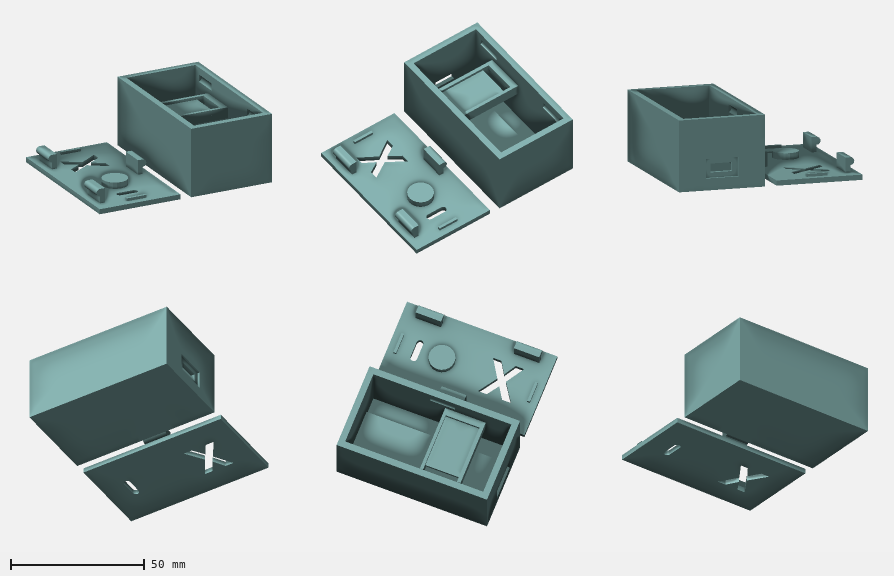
import cadquery as cq

LENGTH = 60.5
WIDTH = 34.0
BOX_HEIGHT = 27.5
PART_GAP = 4.52
BOX_Y = WIDTH + PART_GAP

WALL = 2.5
FLOOR = 2.5
CAVITY_LENGTH = LENGTH - 2 * WALL
CAVITY_WIDTH = WIDTH - 2 * WALL
BOARD_BED_WIDTH = 15.0
BOARD_BED_TOP = 5.5

PORT_Z = 8.3
PORT_WIDTH = 8.6
PORT_HEIGHT = 3.4
PORT_RECESS_WIDTH = 12.9
PORT_RECESS_HEIGHT = 7.4
PORT_RECESS_DEPTH = 1.0

HOLDER_X = -9.3
HOLDER_LENGTH = 16.3
HOLDER_TOP = 19.7
HOLDER_THICKNESS = 2.2
HOLDER_BOTTOM = HOLDER_TOP - HOLDER_THICKNESS
SCREEN_X = -9.2
SCREEN_LENGTH = 13.6
SCREEN_WIDTH = 23.6
SCREEN_POCKET_DEPTH = 1.1
CABLE_SLOT_WIDTH = 2.6
CABLE_SLOT_Y = (SCREEN_WIDTH - CABLE_SLOT_WIDTH) / 2
FRAME_THICKNESS = HOLDER_THICKNESS
FRAME_BOTTOM = HOLDER_BOTTOM - FRAME_THICKNESS
CABLE_NOTCH_DEPTH = 0.5
CABLE_NOTCH_POST = 1.1

LID_THICKNESS = 2.0
SIDE_RIB_X = 26.9
SIDE_RIB_THICKNESS = 1.1
SIDE_RIB_LENGTH = 8.3
SIDE_RIB_HEIGHT = 1.1
KNOB_X = 9.55
KNOB_DIAMETER = 10.1
KNOB_SIDES = 20
KNOB_HEIGHT = 2.5
SLOT_X = 19.65
SLOT_WIDTH = 2.6
SLOT_LENGTH = 8.8

CLIP_TAB_OUTER_Y = 14.05
CLIP_TAB_THICKNESS = 2.0
CLIP_BEAD_RADIUS = 1.5
CLIP_BEAD_Z = 6.3
CLIP_TOP = CLIP_BEAD_Z + CLIP_BEAD_RADIUS
FRONT_CLIP_X = 19.75
FRONT_CLIP_LENGTH = 10.2
BACK_CLIP_LENGTH = 10.0

GROOVE_Z = BOX_HEIGHT - (CLIP_BEAD_Z - LID_THICKNESS)


def block(length, width, height, x, y, bottom):
    """A plain block centred on x, y and standing on the height bottom."""
    return cq.Workplane("XY").box(length, width, height, (True, True, False)).translate((x, y, bottom))


def bead(length, x, y, z):
    """A round bar of the clip bead's radius, lying along X."""
    bar = cq.Workplane("YZ").circle(CLIP_BEAD_RADIUS).extrude(length / 2, both=True)
    return bar.translate((x, y, z))


def support_frame():
    """Open frame bridging the long walls of the box; the screen holder rests on it."""
    frame = block(HOLDER_LENGTH, CAVITY_WIDTH, FRAME_THICKNESS, HOLDER_X, BOX_Y, FRAME_BOTTOM)
    frame = frame.cut(block(SCREEN_LENGTH, SCREEN_WIDTH, FRAME_THICKNESS, SCREEN_X, BOX_Y, FRAME_BOTTOM))
    notch_length = SCREEN_LENGTH - CABLE_NOTCH_POST
    notch_y = BOX_Y + (SCREEN_WIDTH + CABLE_NOTCH_DEPTH) / 2
    notch_x = SCREEN_X - CABLE_NOTCH_POST / 2
    return frame.cut(block(notch_length, CABLE_NOTCH_DEPTH, FRAME_THICKNESS, notch_x, notch_y, FRAME_BOTTOM))


def port_opening():
    """Connector hole through the -X wall with a shallow plug recess around it."""
    recess = cq.Workplane("XY").box(2 * PORT_RECESS_DEPTH, PORT_RECESS_WIDTH, PORT_RECESS_HEIGHT)
    hole = cq.Workplane("XY").box(2 * WALL, PORT_WIDTH, PORT_HEIGHT)
    return recess.union(hole).translate((-LENGTH / 2, BOX_Y, PORT_Z))


def make_box():
    box = block(LENGTH, WIDTH, BOX_HEIGHT, 0, BOX_Y, 0)
    box = box.cut(block(CAVITY_LENGTH, CAVITY_WIDTH, BOX_HEIGHT, 0, BOX_Y, FLOOR))
    bed_height = BOARD_BED_TOP - FLOOR
    box = box.union(block(CAVITY_LENGTH, BOARD_BED_WIDTH, bed_height, 0, BOX_Y, FLOOR))
    box = box.union(support_frame())
    box = box.cut(port_opening())
    for x in (-FRONT_CLIP_X, FRONT_CLIP_X):
        box = box.cut(bead(FRONT_CLIP_LENGTH, x, BOX_Y + CLIP_TAB_OUTER_Y, GROOVE_Z))
    return box.cut(bead(BACK_CLIP_LENGTH, 0, BOX_Y - CLIP_TAB_OUTER_Y, GROOVE_Z))


def make_screen_holder():
    """Bridge plate with a screen pocket and a cable slot along the pocket's back edge."""
    holder = block(HOLDER_LENGTH, CAVITY_WIDTH, HOLDER_THICKNESS, HOLDER_X, BOX_Y, HOLDER_BOTTOM)
    pocket_floor = HOLDER_TOP - SCREEN_POCKET_DEPTH
    holder = holder.cut(
        block(SCREEN_LENGTH, SCREEN_WIDTH, SCREEN_POCKET_DEPTH, SCREEN_X, BOX_Y, pocket_floor)
    )
    slot_y = BOX_Y + CABLE_SLOT_Y
    return holder.cut(
        block(SCREEN_LENGTH, CABLE_SLOT_WIDTH, HOLDER_THICKNESS, SCREEN_X, slot_y, HOLDER_BOTTOM)
    )


def clip_tab(length, x, side):
    """Upright tab on the lid; side is -1 for the front edge and 1 for the back edge."""
    y = side * (CLIP_TAB_OUTER_Y - CLIP_TAB_THICKNESS / 2)
    return block(length, CLIP_TAB_THICKNESS, CLIP_TOP, x, y, 0)


def cross_opening():
    """X-shaped opening with a slightly narrower foot than head."""
    outline = [
        (-20.9, 6.8), (-17.3, 6.8), (-14.3, 2.1), (-11.1, 6.8), (-7.6, 6.8), (-12.5, -0.5),
        (-8.0, -7.7), (-11.4, -7.7), (-14.3, -3.0), (-17.1, -7.7), (-20.5, -7.7), (-16.0, -0.5),
    ]
    return cq.Workplane("XY").polyline(outline).close().extrude(LID_THICKNESS)


def make_lid():
    lid = block(LENGTH, WIDTH, LID_THICKNESS, 0, 0, 0)
    for x in (-FRONT_CLIP_X, FRONT_CLIP_X):
        lid = lid.union(clip_tab(FRONT_CLIP_LENGTH, x, -1))
        lid = lid.union(bead(FRONT_CLIP_LENGTH, x, -CLIP_TAB_OUTER_Y, CLIP_BEAD_Z))
    lid = lid.union(clip_tab(BACK_CLIP_LENGTH, 0, 1)).cut(make_back_bead())
    for x in (-SIDE_RIB_X, SIDE_RIB_X):
        lid = lid.union(block(SIDE_RIB_THICKNESS, SIDE_RIB_LENGTH, SIDE_RIB_HEIGHT, x, 0, LID_THICKNESS))
    knob = cq.Workplane("XY").polygon(KNOB_SIDES, KNOB_DIAMETER).extrude(KNOB_HEIGHT)
    lid = lid.union(knob.translate((KNOB_X, 0, LID_THICKNESS)))
    slot = cq.Workplane("XY").center(SLOT_X, 0).slot2D(SLOT_LENGTH, SLOT_WIDTH, 90).extrude(LID_THICKNESS)
    return lid.cut(slot).cut(cross_opening())


def make_back_bead():
    """Loose round bar seated in the hollow of the back clip tab."""
    return bead(BACK_CLIP_LENGTH, 0, CLIP_TAB_OUTER_Y, CLIP_BEAD_Z)


box = make_box()
screen_holder = make_screen_holder()
lid = make_lid()
back_bead = make_back_bead()

result = cq.Compound.makeCompound([box.val(), screen_holder.val(), lid.val(), back_bead.val()])